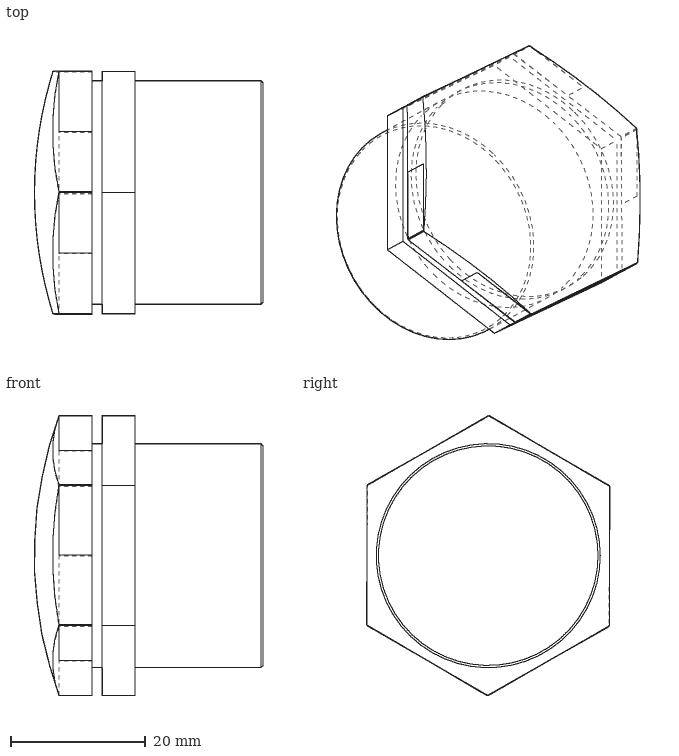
import cadquery as cq
import math

overall_length = 34.0
across_corners = 41.55
dome_height = 3.7
hex_thickness = 4.9
hex_gap = 1.5
shank_diameter = 33.25
end_chamfer = 0.35

cap_turn = -0.5
hex_sides = 6
side_angle = 360.0 / hex_sides

corner_radius = across_corners / 2
apothem = corner_radius * math.cos(math.radians(side_angle / 2))
cap_back = dome_height + hex_thickness
collar_front = cap_back + hex_gap


def flats_crossing(angle_a, angle_b):
    """Point where two hexagon flats, given by the angles of their normals, cross."""
    middle = math.radians((angle_a + angle_b) / 2)
    half_spread = math.radians((angle_b - angle_a) / 2)
    radius = apothem / math.cos(half_spread)
    return radius * math.cos(middle), radius * math.sin(middle)


def hex_prism(x_start, length, turn):
    """Hexagonal prism along X with a flat facing +Y, turned about X."""
    corners = []
    for side in range(hex_sides):
        normal_angle = side * side_angle + turn
        corners.append(flats_crossing(normal_angle, normal_angle + side_angle))
    return cq.Workplane("YZ", origin=(x_start, 0, 0)).polyline(corners).close().extrude(length)


def domed_cap():
    """Hexagonal cap whose front is a sphere running out at the six corners."""
    dome_radius = (corner_radius**2 + dome_height**2) / (2 * dome_height)
    sphere = cq.Workplane("XY", origin=(dome_radius, 0, 0)).sphere(dome_radius)
    return hex_prism(0, cap_back, cap_turn).intersect(sphere)


def shank():
    """Round shank with a chamfered free end."""
    cylinder = (
        cq.Workplane("YZ", origin=(cap_back, 0, 0))
        .circle(shank_diameter / 2)
        .extrude(overall_length - cap_back)
    )
    return cylinder.faces(">X").chamfer(end_chamfer)


def make_plug():
    """Turned domed cap, square-set hexagonal collar and shank in one piece."""
    collar = hex_prism(collar_front, hex_thickness, 0)
    return domed_cap().union(shank()).union(collar)


def make_sliver(square_flat):
    """Thin wedge on one cap flat, rising from mid-flat towards a corner."""
    cap_flat = square_flat + cap_turn
    neighbour_flat = square_flat - side_angle
    outline = [
        flats_crossing(cap_flat, square_flat),
        flats_crossing(neighbour_flat, square_flat),
        flats_crossing(neighbour_flat, cap_flat),
    ]
    return cq.Workplane("YZ", origin=(dome_height, 0, 0)).polyline(outline).close().extrude(hex_thickness)


plug = make_plug()
slivers = [make_sliver(side * side_angle) for side in range(hex_sides)]

result = cq.Compound.makeCompound([plug.val(), *[sliver.val() for sliver in slivers]])